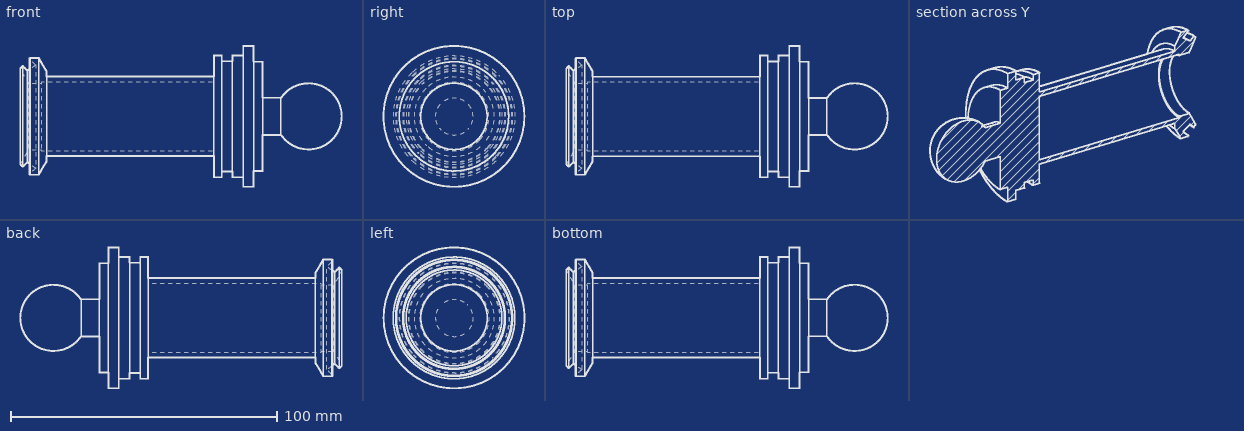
import cadquery as cq
import math

length = 120.8

mouth_radius = 18.0
lip_radius = 19.0
lip_peak_x = 1.0
neck_radius = 17.3
neck_x = 2.7
groove_bottom_radius = 19.3
groove_bottom_x = 5.8

flange_radius = 22.0
flange_front_x = 3.4
flange_chamfer = 0.4
taper_start_x = 7.0
taper_end_x = 9.9
taper_end_radius = 17.0

tube_radius = 15.0
collar_radius = 45.8 / 2
collar_groove_radius = 41.4 / 2
rim_radius = 53.0 / 2
end_step_radius = 20.5
front_collar_x = 72.7
collar_groove_x = 75.7
rear_collar_x = 79.7
rim_x = 83.7
end_step_x = 87.7
stem_x = 91.0

stem_radius = 7.0
ball_radius = 25.0 / 2
ball_center_x = length - ball_radius
ball_start_x = ball_center_x - math.sqrt(ball_radius**2 - stem_radius**2)

bore_radius = 25.0 / 2
mouth_depth = 3.0
relief_radius = 26.0 / 2
relief_start_x = 7.8
bore_depth = front_collar_x

profile = (
    cq.Workplane("XY")
    .moveTo(bore_depth, 0)
    .lineTo(bore_depth, relief_radius)
    .lineTo(relief_start_x, relief_radius)
    .lineTo(relief_start_x, bore_radius)
    .lineTo(mouth_depth, bore_radius)
    .lineTo(0, mouth_radius)
    .lineTo(lip_peak_x, lip_radius)
    .lineTo(neck_x, neck_radius)
    .lineTo(groove_bottom_x, groove_bottom_radius)
    .lineTo(flange_front_x, flange_radius - flange_chamfer)
    .lineTo(flange_front_x + flange_chamfer, flange_radius)
    .lineTo(taper_start_x, flange_radius)
    .lineTo(taper_end_x, taper_end_radius)
    .lineTo(taper_end_x, tube_radius)
    .lineTo(front_collar_x, tube_radius)
    .lineTo(front_collar_x, collar_radius)
    .lineTo(collar_groove_x, collar_radius)
    .lineTo(collar_groove_x, collar_groove_radius)
    .lineTo(rear_collar_x, collar_groove_radius)
    .lineTo(rear_collar_x, collar_radius)
    .lineTo(rim_x, collar_radius)
    .lineTo(rim_x, rim_radius)
    .lineTo(end_step_x, rim_radius)
    .lineTo(end_step_x, end_step_radius)
    .lineTo(stem_x, end_step_radius)
    .lineTo(stem_x, stem_radius)
    .lineTo(ball_start_x, stem_radius)
    .threePointArc((ball_center_x, ball_radius), (length, 0))
    .close()
)

result = profile.revolve(360, (0, 0, 0), (1, 0, 0))